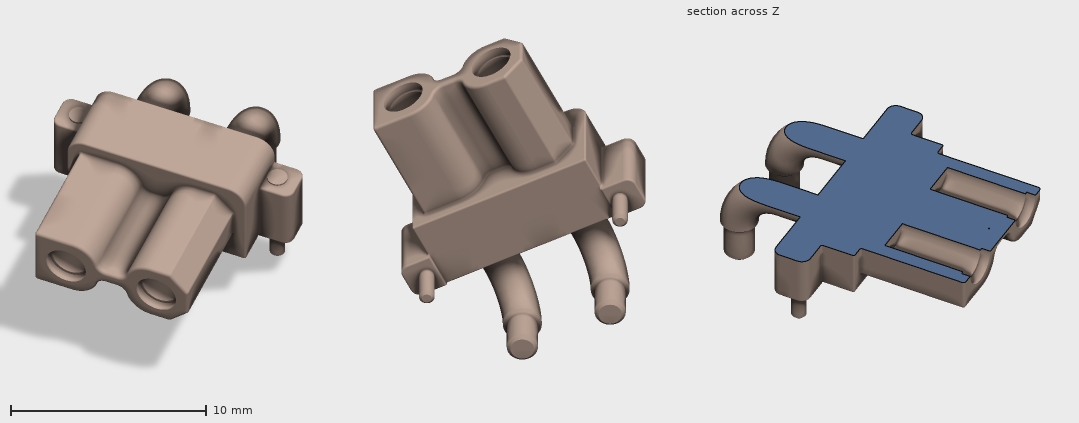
import cadquery as cq
import math


margin = 0.05

body_width = 9.9
body_depth = 3.9
body_height = 5.0
body_bottom = 0.2
body_corner_radius = 1.0
edge_round = 0.1
axis_height = body_bottom + body_height / 2
body_side = body_width / 2

overall_width = 13.3
ear_tip = overall_width / 2
ear_overlap = 0.1
ear_depth = 2.0
ear_height = 3.7
ear_corner_radius = 0.5

plug_length = 6.0
plug_front = -body_depth - plug_length
plug_half_width = 4.25
plug_half_height = 1.75
plug_round = 0.15
plug_chamfer = 1.0
barrel_radius = 1.4
barrel_arc_x = 2.175
web_half_width = 0.31
web_half_height = 0.325

contact_x = 2.5
mouth_diameter = 2.2
mouth_depth = 0.5
bore_diameter = 1.9
bore_depth = 5.0
tail_diameter = 2.0
tail_straight = 1.5
tail_bend_radius = 2.5
tail_y = tail_straight + tail_bend_radius
bend_bottom = axis_height - tail_bend_radius
solder_pin_diameter = 1.6
solder_pin_chamfer = 0.2
pin_length = 2.0

retention_x = 5.5
retention_diameter = 0.8
retention_chamfer = 0.15
nub_diameter = 1.05
nub_top = 3.8


def make_body():
    block = cq.Workplane("XY").box(body_width, body_depth, body_height, centered=(True, False, False))
    block = block.translate((0, -body_depth, body_bottom))
    block = block.edges("|Y and >Z").fillet(body_corner_radius)
    block = block.edges("|Y and <Z").fillet(edge_round)
    return block.faces("<Y or >Y").edges().fillet(edge_round)


def plug_outline():
    """Closed plug section: square-sided barrel, thin web, chamfered barrel."""
    run = barrel_arc_x - web_half_width
    drop = plug_half_height - web_half_height
    radius_sum = (run**2 + drop**2) / (2 * drop)
    neck_radius = radius_sum - barrel_radius
    sweep = math.asin(run / radius_sum)

    barrel_z = plug_half_height - barrel_radius
    neck_z = web_half_height + neck_radius
    barrel_mid = (
        barrel_arc_x - barrel_radius * math.sin(sweep / 2),
        barrel_z + barrel_radius * math.cos(sweep / 2),
    )
    joint = (
        barrel_arc_x - barrel_radius * math.sin(sweep),
        barrel_z + barrel_radius * math.cos(sweep),
    )
    neck_mid = (
        web_half_width + neck_radius * math.sin(sweep / 2),
        neck_z - neck_radius * math.cos(sweep / 2),
    )

    barrel_top = (barrel_arc_x, plug_half_height)
    web_end = (web_half_width, web_half_height)
    chamfer_x = plug_half_width - plug_chamfer
    chamfer_z = plug_half_height - plug_chamfer

    def at(point, x_sign, z_sign):
        return (x_sign * point[0], z_sign * point[1])

    def waist(sketch, z_sign):
        """From one barrel over the web to the other: rightward on top, leftward below."""
        start, end = -z_sign, z_sign
        return (
            sketch.lineTo(*at(barrel_top, start, z_sign))
            .threePointArc(at(barrel_mid, start, z_sign), at(joint, start, z_sign))
            .threePointArc(at(neck_mid, start, z_sign), at(web_end, start, z_sign))
            .lineTo(*at(web_end, end, z_sign))
            .threePointArc(at(neck_mid, end, z_sign), at(joint, end, z_sign))
            .threePointArc(at(barrel_mid, end, z_sign), at(barrel_top, end, z_sign))
        )

    sketch = cq.Workplane("XZ", origin=(0, 0, axis_height)).moveTo(-plug_half_width, plug_half_height)
    sketch = waist(sketch, 1)
    sketch = sketch.lineTo(chamfer_x, plug_half_height)
    sketch = sketch.lineTo(plug_half_width, chamfer_z)
    sketch = sketch.lineTo(plug_half_width, -chamfer_z)
    sketch = sketch.lineTo(chamfer_x, -plug_half_height)
    sketch = waist(sketch, -1)
    return sketch.lineTo(-plug_half_width, -plug_half_height).close()


def zone(x_range, y_range, z_range):
    """Selector for edges centred inside the box spanned by three ranges."""
    low, high = zip(x_range, y_range, z_range)
    return cq.selectors.BoxSelector(low, high)


def add_plug(body):
    plug = plug_outline().extrude(body_depth + plug_length)
    y_range = (plug_front, 0)
    z_range = (axis_height - plug_half_height - margin, axis_height + plug_half_height + margin)
    square_corners = zone((-plug_half_width - margin, -plug_half_width + margin), y_range, z_range)
    chamfer_corners = zone(
        (plug_half_width - plug_chamfer - margin, plug_half_width + margin), y_range, z_range
    )
    plug = plug.edges(square_corners + chamfer_corners).edges("|Y").fillet(plug_round)
    plug = plug.faces("<Y").edges().fillet(plug_round)
    joined = body.union(plug)
    root = zone(
        (-plug_half_width - margin, plug_half_width + margin),
        (-body_depth - margin, -body_depth + margin),
        z_range,
    )
    return joined.edges(root).fillet(edge_round)


def make_ear(side):
    inner_x = body_side - ear_overlap
    ear = cq.Workplane("XY").box(ear_tip - inner_x, ear_depth, ear_height, centered=False)
    ear = ear.translate((inner_x, -ear_depth, 0))
    ear = ear.edges("|Z and >X").fillet(ear_corner_radius)
    ear = ear.faces("<Z").edges().fillet(edge_round)
    ear = ear.faces(">Z").edges("not <X").fillet(edge_round)
    return ear if side > 0 else ear.mirror("YZ")


def round_ear_root(part, side):
    """Blend the top and front of one ear into the side of the housing."""
    wall = side * body_side
    root = zone(
        (wall - margin, wall + margin),
        (-ear_depth - margin, -margin),
        (ear_height / 3, ear_height + margin),
    )
    return part.edges(root).fillet(edge_round)


def upright_pin(x, y, top, diameter, chamfer):
    pin = cq.Workplane("XY", origin=(x, y, -pin_length)).circle(diameter / 2).extrude(pin_length + top)
    return pin.faces("<Z").chamfer(chamfer)


def make_tail(x):
    """Tail that leaves the housing rearward, bends down and ends in a solder pin."""
    start_y = -body_depth / 2
    path = (
        cq.Workplane("YZ", origin=(x, 0, 0))
        .moveTo(start_y, axis_height)
        .lineTo(tail_straight, axis_height)
        .radiusArc((tail_y, bend_bottom), tail_bend_radius)
    )
    section = cq.Workplane("XZ", origin=(x, start_y, axis_height)).circle(tail_diameter / 2)
    tail = section.sweep(path)
    taper = (
        cq.Workplane("XY", origin=(x, tail_y, 0))
        .circle(solder_pin_diameter / 2)
        .workplane(offset=bend_bottom)
        .circle(tail_diameter / 2)
        .loft()
    )
    pin = upright_pin(x, tail_y, 0, solder_pin_diameter, solder_pin_chamfer)
    return tail.union(taper).union(pin)


def add_retention_pin(part, side):
    """Pin pressed through an ear: a leg below it and a low nub above it."""
    x = side * retention_x
    y = -ear_depth / 2
    leg = upright_pin(x, y, ear_height / 2, retention_diameter, retention_chamfer)
    nub = cq.Workplane("XY", origin=(x, y, ear_height / 2))
    nub = nub.circle(nub_diameter / 2).extrude(nub_top - ear_height / 2)
    return part.union(leg).union(nub)


def cut_socket(part, x):
    face = cq.Workplane("XZ", origin=(x, plug_front, axis_height))
    mouth = face.circle(mouth_diameter / 2).extrude(-mouth_depth)
    bore = face.circle(bore_diameter / 2).extrude(-bore_depth)
    return part.cut(mouth).cut(bore)


result = add_plug(make_body())
for side in (-1, 1):
    result = round_ear_root(result.union(make_ear(side)), side)
    result = add_retention_pin(result, side)
    result = result.union(make_tail(side * contact_x))
    result = cut_socket(result, side * contact_x)